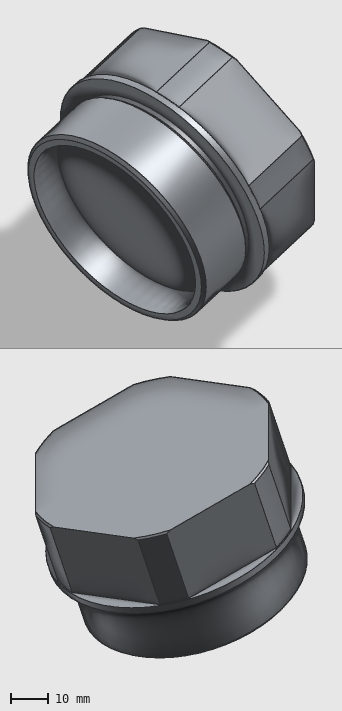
import cadquery as cq
import math

total_length = 45.0
hex_length = 23.05
hex_across_flats = 65.2
hex_corner_diameter = 71.1
hex_corner_chamfer = 0.5
flange_diameter = 72.0
flange_thickness = 2.0
neck_diameter = 61.1
neck_length = 1.5
spigot_diameter = 63.0
spigot_chamfer_length = 0.9
bore_diameter = 57.0
bore_depth = 10.1

open_end = -total_length / 2
hex_end = total_length / 2
flange_back = hex_end - hex_length
flange_front = flange_back - flange_thickness
spigot_back = flange_front - neck_length
spigot_length = spigot_back - open_end


def cylinder(diameter, start, length):
    """Cylinder running in +Y from the given start."""
    plane = cq.Workplane("XZ", origin=(0, start, 0))
    return plane.circle(diameter / 2).extrude(-length)


def hex_head():
    """Hexagon with flats facing +X and -X and corners rounded by a chamfered cylinder."""
    across_corners = hex_across_flats / math.cos(math.pi / 6)
    prism = (
        cq.Workplane("XZ", origin=(0, flange_back, 0))
        .transformed(rotate=(0, 0, 30))
        .polygon(6, across_corners)
        .extrude(-hex_length)
    )
    envelope = cylinder(hex_corner_diameter, flange_back, hex_length).faces(">Y").chamfer(hex_corner_chamfer)
    return prism.intersect(envelope)


def spigot():
    """Cylinder tapering at both ends down to the neck diameter."""
    chamfer_depth = (spigot_diameter - neck_diameter) / 2
    radius = spigot_diameter / 2
    end_radius = radius - chamfer_depth
    return (
        cq.Workplane("XY")
        .moveTo(0, open_end)
        .lineTo(end_radius, open_end)
        .lineTo(radius, open_end + spigot_chamfer_length)
        .lineTo(radius, spigot_back - spigot_chamfer_length)
        .lineTo(end_radius, spigot_back)
        .lineTo(0, spigot_back)
        .close()
        .revolve(360, (0, 0, 0), (0, 1, 0))
    )


flange = cylinder(flange_diameter, flange_front, flange_thickness)
neck = cylinder(neck_diameter, spigot_back, neck_length)
bore = cylinder(bore_diameter, open_end, bore_depth)

result = hex_head().union(flange).union(neck).union(spigot()).cut(bore)